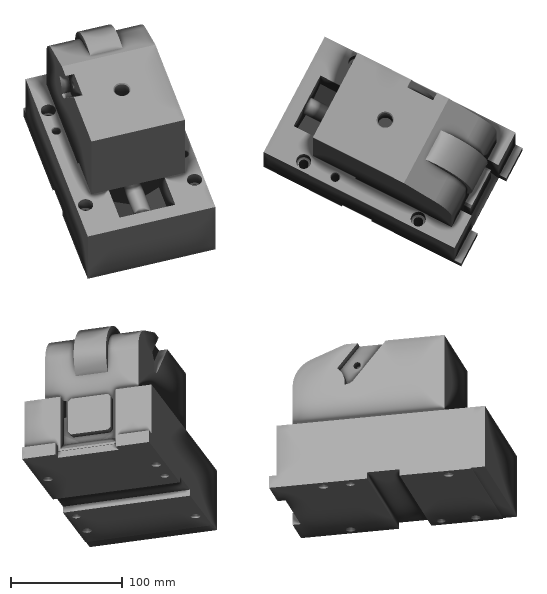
import cadquery as cq
import math

BASE_LENGTH = 200.0
BASE_WIDTH = 120.0
BASE_HEIGHT = 60.0
FOOT_LENGTH = 6.8
FOOT_HEIGHT = 11.5
FOOT_GAP = 56.8
FRONT_RELIEF_DEPTH = 0.5
FRONT_RELIEF_HEIGHT = 6.2
CHANNEL_WIDTH = 52.5
CHANNEL_END_X = 187.0
CHANNEL_SIDE_Z = 26.0
CHANNEL_FLOOR_ANGLE = 30.0
RAMP_END_X = 17.2
RAMP_LOW_Z = 8.2
RAMP_HIGH_Z = 17.0
KEY_SLOT_START_X = 90.8
KEY_SLOT_LENGTH = 30.0
KEY_SLOT_HEIGHT = 6.0
END_RELIEF_LENGTH = 12.8
END_RELIEF_HEIGHT = 0.8

BOLT_ROW_Y = 51.2
BOLT_X = (48.0, 164.0)
BOLT_HOLE_DIAMETER = 9.0
COUNTERBORE_DIAMETER = 13.5
COUNTERBORE_DEPTH = 12.0
DOWEL_CENTRES = ((132.0, BOLT_ROW_Y), (73.0, -BOLT_ROW_Y))
DOWEL_DIAMETER = 8.0
DOWEL_CHAMFER = 0.5

HEAD_FRONT_X = 17.8
HEAD_BACK_X = 158.5
HEAD_WIDTH = 88.0
HEAD_TOP_Z = 140.0
HEAD_BOTTOM_Z = 60.5
HEAD_STEP_X = 115.5
HEAD_STEP_Z = 66.0
SLOPE_START_X = 66.2
SLOPE_ANGLE = 20.5
NOSE_RADIUS = 26.5
TONGUE_BACK_X = 135.8
TONGUE_NECK_WIDTH = 48.0
TONGUE_SHOULDER_Z = 43.8

PAD_FRONT_X = 11.0
PAD_WIDTH = 40.0
PAD_BOTTOM_Z = 23.2
PAD_TOP_Z = 58.5
PAD_CHAMFER = 2.5

ROLLER_X = 48.0
ROLLER_Z = 103.2
ROLLER_RADIUS = 36.0
ROLLER_WIDTH = 30.5
NOTCH_WIDTH = 20.0
NOTCH_DEPTH = 8.0
NOTCH_ANGLE = 50.0
NOTCH_HOLE_X = 75.5
NOTCH_HOLE_Z = 121.5
NOTCH_HOLE_DIAMETER = 6.5
NOTCH_HOLE_DEPTH = 10.0
NOTCH_END_OFFSET = 14.0
NOTCH_BOSS_RADIUS = 18.0
LIFTING_HOLE_X = 107.8
LIFTING_HOLE_DIAMETER = 13.5
LIFTING_HOLE_DEPTH = 20.0
LIFTING_HOLE_CHAMFER = 1.0

ROD_DIAMETER = 16.0
ROD_Z = (PAD_BOTTOM_Z + PAD_TOP_Z) / 2

CHANNEL_APEX_Z = CHANNEL_SIDE_Z - CHANNEL_WIDTH / 2 * math.tan(math.radians(CHANNEL_FLOOR_ANGLE))


def box(x_start, x_end, width, z_start, z_end):
    """A block centred on the XZ plane."""
    return cq.Workplane("XY").box(
        x_end - x_start, width, z_end - z_start, centered=(False, True, False)
    ).translate((x_start, 0, z_start))


def extrude_across(outline, width):
    """Extrude an outline on the XZ plane equally to both sides of that plane."""
    return outline.extrude(width / 2, both=True)


def extrude_along(points, x_start, x_end):
    """Extrude a (Y, Z) polygon along X."""
    return cq.Workplane("YZ", origin=(x_start, 0, 0)).polyline(points).close().extrude(x_end - x_start)


def chamfered_hole(x, y, top_z, diameter, depth, chamfer):
    """The space of a vertical round hole with a 45 degree chamfer at its mouth."""
    radius = diameter / 2
    return (
        cq.Workplane("XZ", origin=(x, y, top_z))
        .polyline([
            (0, 0),
            (radius + chamfer, 0),
            (radius, -chamfer),
            (radius, -depth),
            (0, -depth),
        ])
        .close()
        .revolve(360, (0, 0), (0, 1))
    )


def guide_channel():
    """The space of the base's channel: a ramp at the open end, then a V-shaped floor."""
    top = BASE_HEIGHT
    half = CHANNEL_WIDTH / 2
    entry = extrude_across(
        cq.Workplane("XZ").polyline([
            (FOOT_LENGTH, RAMP_LOW_Z),
            (RAMP_END_X, RAMP_HIGH_Z),
            (RAMP_END_X, top),
            (FOOT_LENGTH, top),
        ]).close(),
        CHANNEL_WIDTH,
    )
    trough = extrude_along(
        [(-half, top), (-half, CHANNEL_SIDE_Z), (0, CHANNEL_APEX_Z), (half, CHANNEL_SIDE_Z), (half, top)],
        RAMP_END_X,
        CHANNEL_END_X,
    )
    return entry.union(trough)


def make_base():
    body = box(FOOT_LENGTH, BASE_LENGTH, BASE_WIDTH, 0, BASE_HEIGHT)
    feet = box(0, FOOT_LENGTH, BASE_WIDTH, 0, FOOT_HEIGHT)
    feet = feet.cut(box(0, FOOT_LENGTH, FOOT_GAP, 0, FOOT_HEIGHT))
    body = body.union(feet).cut(guide_channel())

    body = body.cut(box(FOOT_LENGTH, FOOT_LENGTH + FRONT_RELIEF_DEPTH, FOOT_GAP, 0, FRONT_RELIEF_HEIGHT))
    body = body.cut(
        box(KEY_SLOT_START_X, KEY_SLOT_START_X + KEY_SLOT_LENGTH, BASE_WIDTH, 0, KEY_SLOT_HEIGHT)
    )
    body = body.cut(box(BASE_LENGTH - END_RELIEF_LENGTH, BASE_LENGTH, BASE_WIDTH, 0, END_RELIEF_HEIGHT))

    top = cq.Workplane("XY", origin=(0, 0, BASE_HEIGHT))
    bolt_centres = [(x, side * BOLT_ROW_Y) for x in BOLT_X for side in (-1, 1)]
    bolts = top.pushPoints(bolt_centres)
    body = body.cut(bolts.circle(BOLT_HOLE_DIAMETER / 2).extrude(-BASE_HEIGHT))
    body = body.cut(bolts.circle(COUNTERBORE_DIAMETER / 2).extrude(-COUNTERBORE_DEPTH))
    for x, y in DOWEL_CENTRES:
        body = body.cut(chamfered_hole(x, y, BASE_HEIGHT, DOWEL_DIAMETER, BASE_HEIGHT, DOWEL_CHAMFER))
    return body


def slider_head():
    """Head profile: a sloped front top that runs into a rounded nose."""
    slope = math.radians(SLOPE_ANGLE)
    corner_z = HEAD_TOP_Z - (SLOPE_START_X - HEAD_FRONT_X) * math.tan(slope)
    tangent_length = NOSE_RADIUS * math.tan((math.pi / 2 - slope) / 2)
    nose_x = HEAD_FRONT_X + NOSE_RADIUS
    nose_z = corner_z - tangent_length
    mid_angle = math.pi - (math.pi / 2 - slope) / 2
    nose_middle = (nose_x + NOSE_RADIUS * math.cos(mid_angle), nose_z + NOSE_RADIUS * math.sin(mid_angle))
    nose_end = (nose_x - NOSE_RADIUS * math.sin(slope), nose_z + NOSE_RADIUS * math.cos(slope))
    outline = (
        cq.Workplane("XZ")
        .moveTo(HEAD_FRONT_X, HEAD_BOTTOM_Z)
        .lineTo(HEAD_FRONT_X, nose_z)
        .threePointArc(nose_middle, nose_end)
        .lineTo(SLOPE_START_X, HEAD_TOP_Z)
        .lineTo(HEAD_BACK_X, HEAD_TOP_Z)
        .lineTo(HEAD_BACK_X, HEAD_STEP_Z)
        .lineTo(HEAD_STEP_X, HEAD_STEP_Z)
        .lineTo(HEAD_STEP_X, HEAD_BOTTOM_Z)
        .close()
    )
    return extrude_across(outline, HEAD_WIDTH)


def slider_tongue():
    """Guide tongue: a neck under the head, then a wider foot with a V-shaped underside."""
    neck = box(HEAD_FRONT_X, TONGUE_BACK_X, TONGUE_NECK_WIDTH, TONGUE_SHOULDER_Z, HEAD_STEP_Z)
    half = CHANNEL_WIDTH / 2
    foot = extrude_along(
        [
            (-half, TONGUE_SHOULDER_Z),
            (-half, CHANNEL_SIDE_Z),
            (0, CHANNEL_APEX_Z),
            (half, CHANNEL_SIDE_Z),
            (half, TONGUE_SHOULDER_Z),
        ],
        HEAD_FRONT_X,
        TONGUE_BACK_X,
    )
    pad = box(PAD_FRONT_X, HEAD_FRONT_X, PAD_WIDTH, PAD_BOTTOM_Z, PAD_TOP_Z).edges("|X").chamfer(PAD_CHAMFER)
    return neck.union(foot).union(pad)


def slider_notch():
    """Sloping round-ended notch in the -Y face, cut short by a boss concentric with the roller bulge."""
    angle = math.radians(NOTCH_ANGLE)
    reach = HEAD_TOP_Z - HEAD_BOTTOM_Z
    end_x = NOTCH_HOLE_X - NOTCH_END_OFFSET * math.cos(angle)
    end_z = NOTCH_HOLE_Z - NOTCH_END_OFFSET * math.sin(angle)
    face = cq.Workplane("XZ", origin=(0, -HEAD_WIDTH / 2, 0))
    round_end = face.center(end_x, end_z).circle(NOTCH_WIDTH / 2).extrude(-NOTCH_DEPTH)
    straight = (
        face.center(end_x, end_z)
        .transformed(rotate=(0, 0, NOTCH_ANGLE))
        .center(reach / 2, 0)
        .rect(reach, NOTCH_WIDTH)
        .extrude(-NOTCH_DEPTH)
    )
    boss = face.center(ROLLER_X, ROLLER_Z).circle(NOTCH_BOSS_RADIUS).extrude(-NOTCH_DEPTH)
    hole = (
        face.center(NOTCH_HOLE_X, NOTCH_HOLE_Z)
        .circle(NOTCH_HOLE_DIAMETER / 2)
        .extrude(-NOTCH_DEPTH - NOTCH_HOLE_DEPTH)
    )
    return straight.union(round_end).cut(boss).union(hole)


def make_slider():
    roller_bulge = extrude_across(
        cq.Workplane("XZ").center(ROLLER_X, ROLLER_Z).circle(ROLLER_RADIUS), ROLLER_WIDTH
    )
    lifting_hole = chamfered_hole(
        LIFTING_HOLE_X, 0, HEAD_TOP_Z, LIFTING_HOLE_DIAMETER, LIFTING_HOLE_DEPTH, LIFTING_HOLE_CHAMFER
    )
    body = slider_head().union(slider_tongue()).union(roller_bulge)
    return body.cut(slider_notch()).cut(lifting_hole)


def make_rod():
    """Round rod between the back of the tongue and the end wall of the channel."""
    return (
        cq.Workplane("YZ", origin=(TONGUE_BACK_X, 0, ROD_Z))
        .circle(ROD_DIAMETER / 2)
        .extrude(CHANNEL_END_X - TONGUE_BACK_X)
    )


base = make_base()
slider = make_slider()
rod = make_rod()

result = cq.Compound.makeCompound([base.val(), slider.val(), rod.val()])